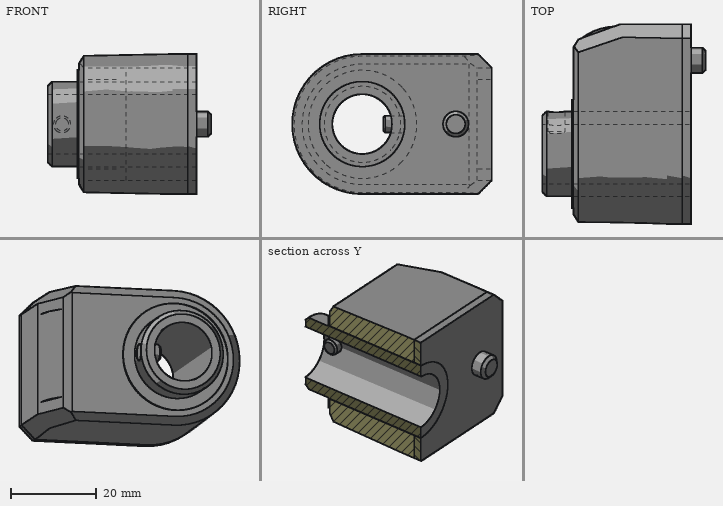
import cadquery as cq
import math


HALF_WIDTH = 16.5
TOP_Y = 30.5
CORNER_CHAMFER = 3.3

COVER_FRONT_X = -2.0
DRAFT_START_X = -5.65
BEVEL_START_X = -26.5
HOUSING_FRONT_X = -27.7
COLLAR_FRONT_X = -28.1
BUSHING_FRONT_X = -35.0

DRAFT_INSET = 0.4
BEVEL_INSET = 1.9
SLOPE_START_X = -16.65
SLOPE_END_Y = 26.95

WINDOW_RADIUS = 27.5 / 2
WINDOW_LENGTH = 21.0
WINDOW_LOW_Y = 27.2
WINDOW_HIGH_Y = 30.0

BUSHING_RADIUS = 20.0 / 2
BORE_RADIUS = 14.0 / 2
COLLAR_RADIUS = 25.5 / 2
BUSHING_CHAMFER = 1.05

SCREW_RADIUS = 4.0 / 2
SCREW_X = -31.7
SCREW_TIP_Y = 4.9
SCREW_CHAMFER = 0.45

PIN_RADIUS = 6.0 / 2
PIN_Y = 22.0
PIN_LENGTH = 3.5
PIN_CHAMFER = 0.8

DRAFTED_HALF_WIDTH = HALF_WIDTH - DRAFT_INSET
CHAMFER_INNER_Z = HALF_WIDTH - CORNER_CHAMFER
SLOPE_RUN = SLOPE_START_X - BEVEL_START_X
SLOPE_DROP = TOP_Y - SLOPE_END_Y
SLOPE_GRADIENT = SLOPE_DROP / SLOPE_RUN
SLOPE_ANGLE = math.degrees(math.atan(SLOPE_GRADIENT))
SCREW_END_Y = math.sqrt(BUSHING_RADIUS**2 - SCREW_RADIUS**2)

CLEARANCE = 47.0


def outline(x, half_width, top_y):
    """Draw the D-shaped outline at station x."""
    return (
        cq.Workplane("YZ", origin=(x, 0, 0))
        .moveTo(top_y, -half_width)
        .lineTo(top_y, half_width)
        .lineTo(0, half_width)
        .threePointArc((-half_width, 0), (0, -half_width))
        .close()
    )


def tapered_block(x_rear, half_rear, top_rear, x_front, half_front, top_front):
    """Join two D-shaped outlines with straight-ruled sides."""
    rear = outline(x_rear, half_rear, top_rear).wires().val()
    front = outline(x_front, half_front, top_front).wires().val()
    return cq.Workplane(obj=cq.Solid.makeLoft([rear, front], True))


def x_cylinder(radius, x_start, x_end):
    return cq.Workplane("YZ", origin=(x_start, 0, 0)).circle(radius).extrude(x_end - x_start)


def corner_wedges():
    """45 degree cutters for the two top edges, running along X with the top face at Y = 0."""
    profile = [
        (-CORNER_CHAMFER, HALF_WIDTH),
        (CORNER_CHAMFER, CHAMFER_INNER_Z - CORNER_CHAMFER),
        (CORNER_CHAMFER, HALF_WIDTH + CORNER_CHAMFER),
        (-CORNER_CHAMFER, HALF_WIDTH + CORNER_CHAMFER),
    ]
    upper = cq.Workplane("YZ").polyline(profile).close().extrude(CLEARANCE, both=True)
    return upper.union(upper.mirror("XY"))


def slope_y(x):
    return TOP_Y - SLOPE_GRADIENT * (SLOPE_START_X - x)


def slope_x(y):
    return SLOPE_START_X - (TOP_Y - y) / SLOPE_GRADIENT


def tilt_onto_slope(shape):
    """Move a shape from the plane Y = 0 onto the sloped face."""
    return shape.rotate((0, 0, 0), (0, 0, 1), SLOPE_ANGLE).translate((SLOPE_START_X, TOP_Y, 0))


def make_window():
    """Shallow cylinder segment standing on the sloped face."""
    low = (slope_x(WINDOW_LOW_Y), WINDOW_LOW_Y)
    high = (slope_x(WINDOW_HIGH_Y), WINDOW_HIGH_Y)
    half_chord = math.dist(low, high) / 2
    rise = WINDOW_RADIUS - math.sqrt(WINDOW_RADIUS**2 - half_chord**2)
    angle = math.radians(SLOPE_ANGLE)
    crest = (
        (low[0] + high[0]) / 2 - rise * math.sin(angle),
        (low[1] + high[1]) / 2 + rise * math.cos(angle),
    )
    return (
        cq.Workplane("XY")
        .moveTo(*low)
        .threePointArc(crest, high)
        .close()
        .extrude(WINDOW_LENGTH / 2, both=True)
    )


def make_housing():
    straight = outline(COVER_FRONT_X, HALF_WIDTH, TOP_Y).extrude(DRAFT_START_X - COVER_FRONT_X)
    drafted = tapered_block(
        DRAFT_START_X, HALF_WIDTH, TOP_Y, BEVEL_START_X, DRAFTED_HALF_WIDTH, TOP_Y
    )
    bevel = tapered_block(
        BEVEL_START_X, DRAFTED_HALF_WIDTH, SLOPE_END_Y,
        HOUSING_FRONT_X, DRAFTED_HALF_WIDTH - BEVEL_INSET, SLOPE_END_Y - BEVEL_INSET,
    )
    slope_cut = (
        cq.Workplane("XY")
        .moveTo(SLOPE_START_X, TOP_Y)
        .lineTo(HOUSING_FRONT_X, slope_y(HOUSING_FRONT_X))
        .lineTo(HOUSING_FRONT_X, TOP_Y)
        .close()
        .extrude(CLEARANCE, both=True)
    )
    wedges = corner_wedges()
    body = straight.union(drafted).cut(slope_cut).union(bevel)
    body = body.cut(wedges.translate((0, TOP_Y, 0))).cut(tilt_onto_slope(wedges))
    body = body.union(make_window())
    return body.cut(x_cylinder(BUSHING_RADIUS, HOUSING_FRONT_X, COVER_FRONT_X))


def make_cover():
    plate = outline(0, HALF_WIDTH, TOP_Y).extrude(COVER_FRONT_X)
    plate = plate.cut(corner_wedges().translate((0, TOP_Y, 0)))
    plate = plate.cut(x_cylinder(BUSHING_RADIUS, COVER_FRONT_X, 0))
    pin = x_cylinder(PIN_RADIUS, 0, PIN_LENGTH).faces(">X").chamfer(PIN_CHAMFER)
    return plate.union(pin.translate((0, PIN_Y, 0)))


def screw_cylinder(y_start, y_end):
    return cq.Workplane("XZ", origin=(SCREW_X, y_start, 0)).circle(SCREW_RADIUS).extrude(y_start - y_end)


def make_bushing():
    sleeve = x_cylinder(BUSHING_RADIUS, BUSHING_FRONT_X, 0).faces("<X").chamfer(BUSHING_CHAMFER)
    collar = x_cylinder(COLLAR_RADIUS, COLLAR_FRONT_X, HOUSING_FRONT_X)
    sleeve = sleeve.union(collar).cut(x_cylinder(BORE_RADIUS, BUSHING_FRONT_X, 0))
    return sleeve.cut(screw_cylinder(0, BUSHING_RADIUS))


def make_set_screw():
    return screw_cylinder(SCREW_TIP_Y, SCREW_END_Y).faces("<Y").chamfer(SCREW_CHAMFER)


housing = make_housing()
cover = make_cover()
bushing = make_bushing()
set_screw = make_set_screw()

bodies = [housing, cover, bushing, set_screw]
result = cq.Compound.makeCompound([body.solids().val() for body in bodies])